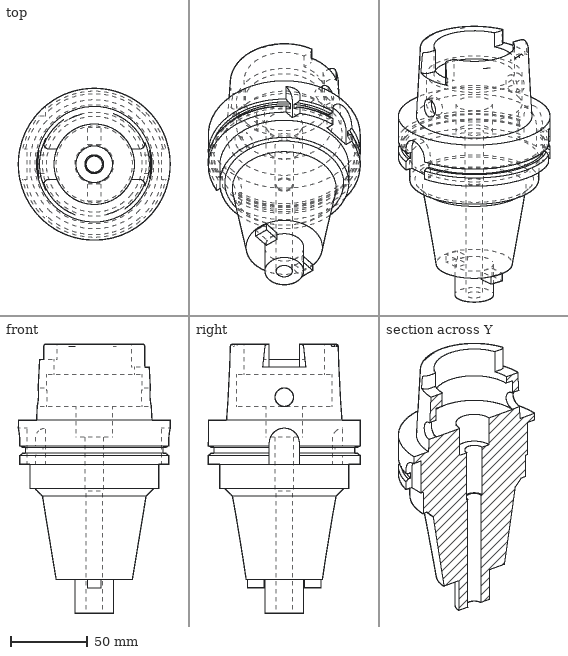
import cadquery as cq
import math

total_height = 177.0
shank_length = 50.0
flange_height = 29.2
collar_height = 16.0
nose_neck_height = 5.0
pilot_length = 22.1

flange_top = total_height - shank_length
flange_bottom = flange_top - flange_height
collar_bottom = flange_bottom - collar_height
nose_top = collar_bottom - nose_neck_height
nose_bottom = pilot_length

shank_base_radius = 38.0
shank_tip_radius = 35.5
rim_round = 1.6
flange_diameter = 100.0
flange_radius = flange_diameter / 2
collar_radius = 42.5
nose_top_radius = 34.2
nose_neck_radius = nose_top_radius + nose_neck_height
nose_bottom_radius = 25.1
pilot_radius = 12.7

groove_radius = 46.4
groove_top = flange_top - 17.9
groove_width = 3.9
groove_bottom = groove_top - groove_width
groove_upper_bevel = 0.9
groove_lower_bevel = 1.6
groove_mouth_radius = 48.1

lip_diameter = 53.0
lip_radius = lip_diameter / 2
lip_depth = 20.0
chamber_radius = 31.5
chamber_depth = 41.0
socket_radius = 12.0
socket_depth = 20.0
passage_radius = 6.2
passage_depth = 35.4
through_radius = 5.3

slot_width = 19.8
slot_flare_radius = 3.9
slot_mouth_radius = 36.5
left_slot_depth = 10.0
right_slot_depth = 15.0

cross_hole_radius = 6.0
cross_hole_height = 142.1

keyway_width = 19.8
keyway_floor = 44.0
keyway_depth_below_top = 5.3
mark_floor = 32.2
mark_center_y = 38.8
mark_radius = 7.0
mark_depth_below_top = 5.3

key_width = 9.2
key_height = 5.5
key_inner = 13.1
key_outer = 24.2
key_root = 1.8


def turned_body():
    """Solid of revolution with the outside outline of the holder."""
    round_start = total_height - rim_round
    return (
        cq.Workplane("XZ")
        .moveTo(0, 0)
        .lineTo(pilot_radius, 0)
        .lineTo(pilot_radius, nose_bottom)
        .lineTo(nose_bottom_radius, nose_bottom)
        .lineTo(nose_top_radius, nose_top)
        .lineTo(nose_neck_radius, collar_bottom)
        .lineTo(collar_radius, collar_bottom)
        .lineTo(collar_radius, flange_bottom)
        .lineTo(flange_radius, flange_bottom)
        .lineTo(flange_radius, groove_bottom - groove_lower_bevel)
        .lineTo(groove_mouth_radius, groove_bottom)
        .lineTo(groove_radius, groove_bottom)
        .lineTo(groove_radius, groove_top)
        .lineTo(groove_mouth_radius, groove_top)
        .lineTo(flange_radius, groove_top + groove_upper_bevel)
        .lineTo(flange_radius, flange_top)
        .lineTo(shank_base_radius, flange_top)
        .lineTo(shank_tip_radius, round_start)
        .radiusArc((shank_tip_radius - rim_round, total_height), -rim_round)
        .lineTo(0, total_height)
        .close()
        .revolve(360, (0, 0, 0), (0, 1, 0))
    )


def stepped_bore():
    """Chamber behind a square clamping lip, coolant socket and through passage."""
    lip_bottom = total_height - lip_depth
    chamber_floor = total_height - chamber_depth
    socket_floor = chamber_floor - socket_depth
    passage_floor = socket_floor - passage_depth
    return (
        cq.Workplane("XZ")
        .moveTo(0, 0)
        .lineTo(through_radius, 0)
        .lineTo(through_radius, passage_floor)
        .lineTo(passage_radius, passage_floor)
        .lineTo(passage_radius, socket_floor)
        .lineTo(socket_radius, socket_floor)
        .lineTo(socket_radius, chamber_floor)
        .lineTo(chamber_radius, chamber_floor)
        .lineTo(chamber_radius, lip_bottom)
        .lineTo(lip_radius, lip_bottom)
        .lineTo(lip_radius, total_height)
        .lineTo(0, total_height)
        .close()
        .revolve(360, (0, 0, 0), (0, 1, 0))
    )


def drive_slot(side, depth):
    """Slot through the rim on one side (+1 or -1 along X), its mouth flared by two round corners."""
    half_width = slot_width / 2
    flare_y = half_width + slot_flare_radius
    flare_x = math.sqrt((slot_mouth_radius - slot_flare_radius) ** 2 - flare_y ** 2)
    outward = slot_mouth_radius / (slot_mouth_radius - slot_flare_radius)
    end_x = flare_x * outward
    end_y = flare_y * outward
    mid_angle = (math.atan2(flare_y, flare_x) - math.pi / 2) / 2
    mid_x = flare_x + slot_flare_radius * math.cos(mid_angle)
    mid_y = flare_y + slot_flare_radius * math.sin(mid_angle)
    return (
        cq.Workplane("XY", origin=(0, 0, total_height - depth))
        .moveTo(0, -half_width)
        .lineTo(side * flare_x, -half_width)
        .threePointArc((side * mid_x, -mid_y), (side * end_x, -end_y))
        .lineTo(side * flange_radius, -end_y)
        .lineTo(side * flange_radius, end_y)
        .lineTo(side * end_x, end_y)
        .threePointArc((side * mid_x, mid_y), (side * flare_x, half_width))
        .lineTo(0, half_width)
        .close()
        .extrude(depth)
    )


def flange_notch(side, floor_x, center_y, radius, depth_below_top):
    """Round-topped notch milled along X into the flange and open at its underside."""
    arc_center = flange_top - depth_below_top - radius
    return (
        cq.Workplane("YZ", origin=(side * floor_x, 0, 0))
        .moveTo(center_y - radius, flange_bottom)
        .lineTo(center_y - radius, arc_center)
        .threePointArc((center_y, arc_center + radius), (center_y + radius, arc_center))
        .lineTo(center_y + radius, flange_bottom)
        .close()
        .extrude(side * (flange_radius - floor_x))
    )


def drive_key(side):
    """Block under the nose on one side (+1 or -1 along Y), just clear of the pilot."""
    key_length = key_outer - key_inner
    return (
        cq.Workplane("XY", origin=(0, side * (key_inner + key_length / 2), nose_bottom - key_height))
        .rect(key_width, key_length)
        .extrude(key_height + key_root)
    )


def cross_hole():
    """Hole along X through both walls of the shank."""
    return (
        cq.Workplane("YZ", origin=(0, 0, cross_hole_height))
        .circle(cross_hole_radius)
        .extrude(flange_radius, both=True)
    )


result = turned_body().cut(stepped_bore()).cut(cross_hole())
result = result.cut(drive_slot(-1, left_slot_depth)).cut(drive_slot(1, right_slot_depth))
for side in (-1, 1):
    result = result.cut(flange_notch(side, keyway_floor, 0, keyway_width / 2, keyway_depth_below_top))
    result = result.union(drive_key(side))
result = result.cut(flange_notch(-1, mark_floor, mark_center_y, mark_radius, mark_depth_below_top))